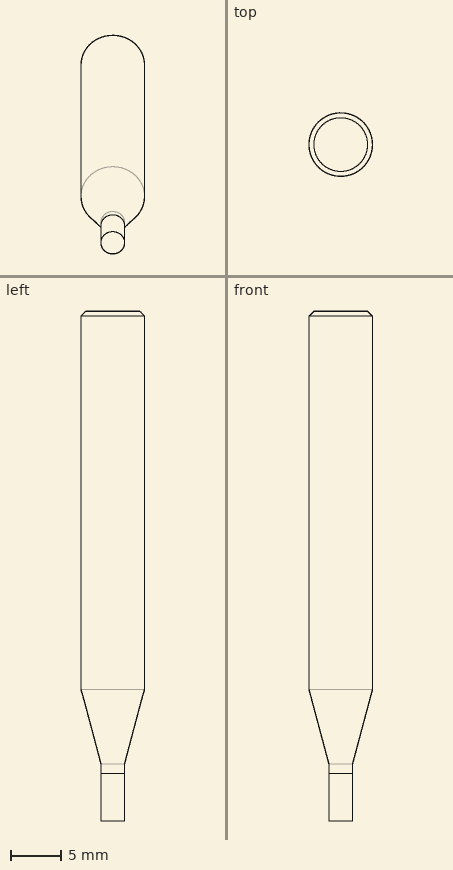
import cadquery as cq
import math

overall_length = 50.8
shank_diameter = 6.35
cutter_diameter = 2.38
cutter_length = 4.76
neck_length = 0.94
taper_half_angle = 15
chamfer = 0.5

shank_radius = shank_diameter / 2
cutter_radius = cutter_diameter / 2
taper_length = (shank_radius - cutter_radius) / math.tan(math.radians(taper_half_angle))
neck_end = cutter_length + neck_length
taper_end = neck_end + taper_length


def make_shank():
    """Turned shank: short neck, conical taper, straight shank and chamfered top end."""
    half_profile = (
        cq.Workplane("XZ")
        .moveTo(0, cutter_length)
        .lineTo(cutter_radius, cutter_length)
        .lineTo(cutter_radius, neck_end)
        .lineTo(shank_radius, taper_end)
        .lineTo(shank_radius, overall_length - chamfer)
        .lineTo(shank_radius - chamfer, overall_length)
        .lineTo(0, overall_length)
        .close()
    )
    return half_profile.revolve(360, (0, 0, 0), (0, 1, 0))


def make_cutter():
    """Plain cylindrical cutting end that butts against the end of the neck."""
    return cq.Workplane("XY").circle(cutter_radius).extrude(cutter_length)


shank = make_shank()
cutter = make_cutter()

result = cq.Compound.makeCompound([shank.val(), cutter.val()])